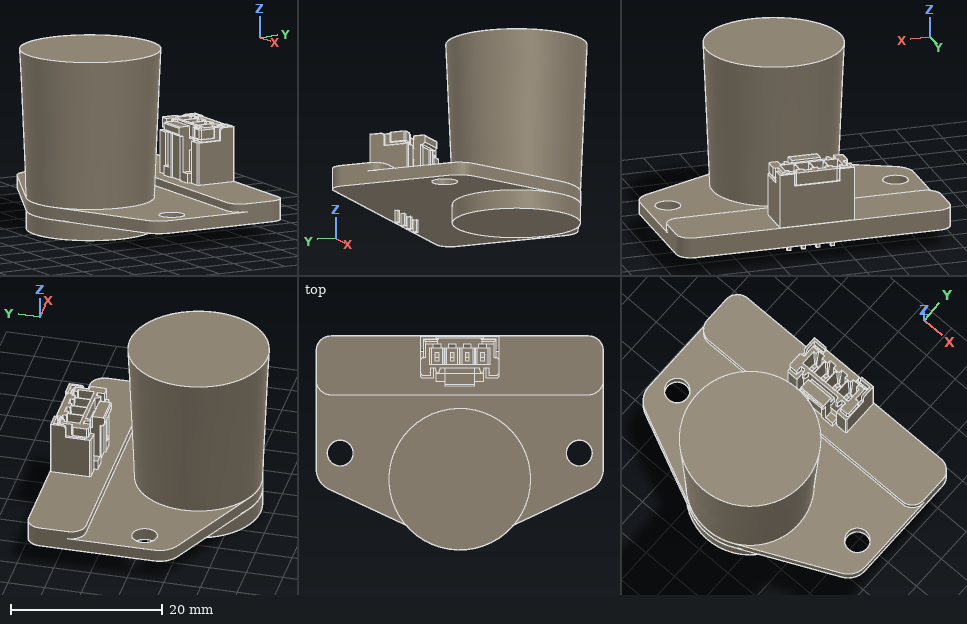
import cadquery as cq
import math


plate_length = 38.0
overall_depth = 28.35
disc_diameter = 17.0
barrel_top_diameter = 18.75
total_height = 24.2
disc_height = 2.5
plate_thickness = 1.7
pad_thickness = 1.1

front_edge_angle = 25.0
front_corner_x = 1.95
front_fillet = 7.98
side_fillet = 3.0
rear_fillet = 2.0
mount_hole_diameter = 3.4
mount_hole_x = 15.8
mount_hole_y = 3.45
pad_width = 7.83

rear_y = overall_depth - barrel_top_diameter / 2
plate_top = disc_height + plate_thickness
pad_top = plate_top + pad_thickness

disc_radius = disc_diameter / 2
front_edge_slope = math.tan(math.radians(front_edge_angle))
side_corner_y = -disc_radius + (plate_length / 2 - front_corner_x) * front_edge_slope

housing_top = 12.73
housing_half_width = 5.15
housing_rear = 18.9
housing_front = 13.4
housing_chamfer = 0.15
ledge_z = 11.02
core_half_width = 4.52
core_rear = 18.15
core_slope = 0.3
lip_front = 17.9
lip_depth = 0.23
core_front = 14.15
rim_thickness = 0.35
rim_front = 16.87
rim_curve = 0.45
key_half_width = 2.93
key_chamfer = 0.23
rear_notch_half_width = 3.1
rear_notch_depth = 0.23
side_block_front = 13.75
side_block_rear = 16.07
side_block_bottom = 11.45
side_block_chamfer = 0.23

opening_half_width = 3.45
upper_opening_half_width = 3.88
opening_rear = 14.75
prong_inner_x = 2.6
prong_outer_x = 3.25
prong_tip_width = 0.3
prong_front = 14.05
latch_half_width = 1.98
latch_rear = 14.0
latch_front = 12.95
hook_front = 12.35
hook_bottom = 11.45
hook_chamfer = 0.3
hook_top_chamfer = 0.15
latch_groove_half_width = 1.25
latch_groove_depth = 0.23
latch_bridge_bottom = 9.5
latch_bridge_top = 11.02
foot_half_width = 3.15
foot_top = 6.6

pin_count = 4
pin_pitch = 2.0
cavity_floor = 6.6
cavity_bottom_width = 1.5
cavity_top_width = 1.95
cavity_front = 15.2
cavity_rear = 17.35
key_slot_width = 1.03
key_slot_rear = 17.85
pin_size = 0.5
pin_y = 15.9
pin_bottom = 0.9
pin_top = 10.65
blade_rear = 16.75
blade_slope = 0.38

pin_places = [(i - (pin_count - 1) / 2) * pin_pitch for i in range(pin_count)]


def box(x0, x1, y0, y1, z0, z1):
    """Box between two opposite corners."""
    return cq.Workplane("XY").box(x1 - x0, y1 - y0, z1 - z0, centered=False).translate((x0, y0, z0))


def centred_box(half_width, y0, y1, z0, z1):
    """Box that is symmetric about the plane X = 0."""
    return box(-half_width, half_width, y0, y1, z0, z1)


def tapered_box(half_widths, front, rears, bottom):
    """Box up to the housing top whose half width and rear Y change evenly from (bottom, top) values."""
    def section(half_width, rear, z):
        return cq.Wire.makePolygon(
            [cq.Vector(-half_width, front, z), cq.Vector(half_width, front, z),
             cq.Vector(half_width, rear, z), cq.Vector(-half_width, rear, z)], close=True)

    bottom_section = section(half_widths[0], rears[0], bottom)
    top_section = section(half_widths[1], rears[1], housing_top)
    return cq.Workplane(cq.Solid.makeLoft([bottom_section, top_section], True))


def both_sides(shape):
    """The shape together with its mirror image in the plane X = 0."""
    return shape.union(shape.mirror("YZ"))


def pin_holes():
    """Square holes through the pad and the plate, one for each pin."""
    holes = cq.Workplane("XY").workplane(offset=disc_height)
    holes = holes.pushPoints([(x, pin_y) for x in pin_places])
    return holes.rect(pin_size, pin_size).extrude(pad_top - disc_height)


def make_disc():
    return cq.Workplane("XY").circle(disc_radius).extrude(disc_height)


def make_barrel():
    barrel = cq.Workplane("XY").workplane(offset=plate_top).circle(disc_radius)
    barrel = barrel.workplane(offset=total_height - plate_top).circle(barrel_top_diameter / 2)
    return barrel.loft(ruled=True)


def make_plate():
    half = plate_length / 2
    outline = [
        (-half, rear_y),
        (half, rear_y),
        (half, side_corner_y),
        (front_corner_x, -disc_radius),
        (-front_corner_x, -disc_radius),
        (-half, side_corner_y),
    ]
    plate = cq.Workplane("XY").workplane(offset=disc_height).polyline(outline).close().extrude(plate_thickness)
    plate = plate.edges("|Z and >Y").fillet(rear_fillet)
    plate = plate.edges("|Z and (<X or >X) and (not >Y)").fillet(side_fillet)
    plate = plate.edges("|Z and <Y").fillet(front_fillet)
    holes = cq.Workplane("XY").pushPoints([(-mount_hole_x, mount_hole_y), (mount_hole_x, mount_hole_y)])
    return plate.cut(holes.circle(mount_hole_diameter / 2).extrude(plate_top))


def make_pad():
    pad = centred_box(plate_length / 2, rear_y - pad_width, rear_y, plate_top, pad_top)
    return pad.edges("|Z").fillet(rear_fillet)


def housing_core():
    """Narrow upper part, with the key at the rear and a chamfered block on each side."""
    core = tapered_box((core_half_width + core_slope, core_half_width), core_front,
                       (core_rear + core_slope, core_rear), ledge_z)
    core = core.cut(centred_box(housing_half_width, lip_front, housing_rear,
                                housing_top - lip_depth, housing_top))
    key = centred_box(key_half_width, core_front, housing_rear - rear_notch_depth, ledge_z, housing_top)
    key = key.edges("|Z and >Y").chamfer(key_chamfer)
    block = box(upper_opening_half_width, housing_half_width, side_block_front, side_block_rear,
                side_block_bottom, housing_top)
    block = block.edges("|Z and >X").chamfer(side_block_chamfer)
    return core.union(key).union(both_sides(block))


def housing_rim():
    """Thin wall around the rear of the core, rounded off at its front ends and notched at the rear."""
    rim = centred_box(housing_half_width, rim_front, housing_rear, ledge_z, housing_top)
    rim = rim.edges("|X and >Z and <Y").fillet(rim_curve)
    inner = housing_half_width - rim_thickness
    rim = rim.cut(centred_box(inner, rim_front, housing_rear - rim_thickness, ledge_z, housing_top))
    return rim.cut(centred_box(rear_notch_half_width, housing_rear - rear_notch_depth, housing_rear,
                               ledge_z, housing_top))


def housing_prong():
    """Tapered rib on the front wall of the core, beside the latch."""
    tip = (prong_inner_x + prong_outer_x) / 2
    outline = [
        (prong_inner_x, opening_rear),
        (tip - prong_tip_width / 2, prong_front),
        (tip + prong_tip_width / 2, prong_front),
        (prong_outer_x, opening_rear),
    ]
    prong = cq.Workplane("XY").workplane(offset=ledge_z).polyline(outline).close()
    return prong.extrude(housing_top - ledge_z)


def housing_latch():
    """Latch wall with a hook, a groove down its front, a foot and a bridge to the wall behind it."""
    profile = [
        (latch_rear, pad_top),
        (latch_front, pad_top),
        (latch_front, hook_bottom),
        (hook_front + hook_chamfer, hook_bottom),
        (hook_front, hook_bottom + hook_chamfer),
        (hook_front, housing_top - hook_top_chamfer),
        (hook_front + hook_top_chamfer, housing_top),
        (latch_rear, housing_top),
    ]
    latch = cq.Workplane("YZ").polyline(profile).close().extrude(latch_half_width, both=True)
    foot = centred_box(foot_half_width, latch_front, latch_rear, pad_top, foot_top)
    bridge = centred_box(latch_half_width, latch_rear, opening_rear, latch_bridge_bottom, latch_bridge_top)
    groove = centred_box(latch_groove_half_width, latch_front, latch_front + latch_groove_depth,
                         pad_top, hook_bottom)
    return latch.union(foot).union(bridge).cut(groove)


def terminal_cavities():
    """Open pockets for the terminals, each with a key slot at the rear and a hole for its pin."""
    cavities = cq.Workplane("XY")
    for x in pin_places:
        pocket = tapered_box((cavity_bottom_width / 2, cavity_top_width / 2), cavity_front,
                             (cavity_rear, cavity_rear), cavity_floor)
        slot = tapered_box((key_slot_width / 2, key_slot_width / 2), cavity_front,
                           (cavity_rear, key_slot_rear), cavity_floor)
        hole = centred_box(pin_size / 2, pin_y - pin_size / 2, pin_y + pin_size / 2, pad_top, cavity_floor)
        cavities = cavities.add(pocket.union(slot).union(hole).translate((x, 0, 0)))
    return cavities.combine()


def make_housing():
    housing = centred_box(housing_half_width, housing_front, housing_rear, pad_top, ledge_z)
    housing = housing.edges("|Z and <Y").chamfer(housing_chamfer)
    housing = housing.cut(centred_box(opening_half_width, housing_front, opening_rear, pad_top, ledge_z))
    core = housing_core().cut(centred_box(upper_opening_half_width, housing_front, opening_rear,
                                          ledge_z, housing_top))
    housing = housing.union(core).union(housing_rim()).union(both_sides(housing_prong()))
    return housing.union(housing_latch()).cut(terminal_cavities())


def make_pin(x):
    """Square pin that widens rearward to a blade inside its cavity, sloped at the rear of its top."""
    half = pin_size / 2
    profile = [
        (pin_y - half, pin_bottom),
        (pin_y + half, pin_bottom),
        (pin_y + half, cavity_floor),
        (blade_rear, cavity_floor),
        (blade_rear, pin_top - blade_slope),
        (pin_y + half, pin_top),
        (pin_y - half, pin_top),
    ]
    return cq.Workplane("YZ").polyline(profile).close().extrude(half, both=True).translate((x, 0, 0))


def make_base():
    """Plate, pad, disc and barrel as one solid; the flush sides of pad and plate stay separate faces."""
    base = make_plate().union(make_pad(), clean=False)
    base = base.union(make_disc(), clean=False).union(make_barrel(), clean=False)
    return base.cut(pin_holes(), clean=False)


base = make_base()
housing = make_housing()
pins = [make_pin(x) for x in pin_places]

result = cq.Compound.makeCompound([base.val(), housing.val(), *[pin.val() for pin in pins]])